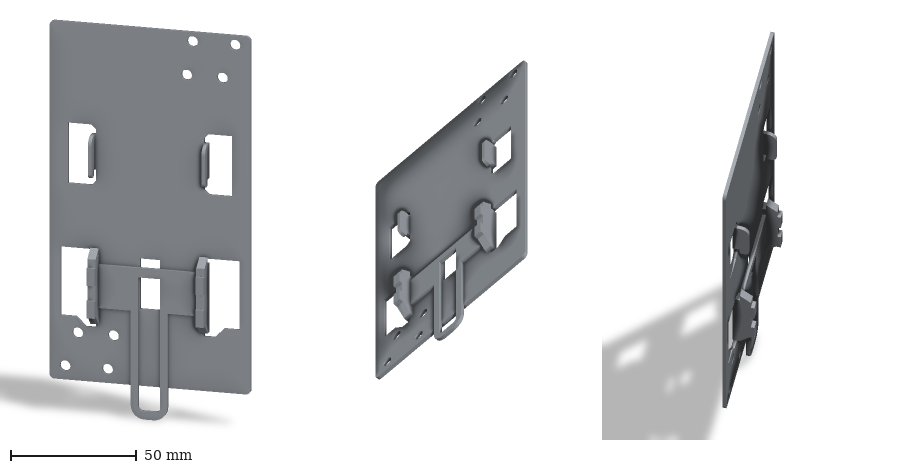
import cadquery as cq


SHEET = 1.5
OVERALL_DEPTH = 9.0

PLATE_WIDTH = 83.0
PLATE_BOTTOM = 13.5
PLATE_TOP = 162.2
PLATE_CORNER_RADIUS = 2.1

HOLE_DIAMETER = 4.4
HOLE_CENTRE_Z = 88.8
HOLE_OFFSETS = [(17.5, 69.6), (35.0, 69.6), (15.1, 55.5), (29.9, 55.5)]

WINDOW_INNER_X = 22.2
UPPER_WINDOW_OUTER_X = 33.9
UPPER_WINDOW_TOP = 120.4
UPPER_WINDOW_BOTTOM = 95.0
UPPER_WINDOW_CHAMFER = 2.0
LOWER_WINDOW_OUTER_X = 36.8
LOWER_WINDOW_TOP = 68.6
LOWER_WINDOW_BOTTOM = 39.9
LOWER_WINDOW_NOTCH_BOTTOM = 36.0
LOWER_WINDOW_NOTCH_X = 26.6
CENTRE_WINDOW_WIDTH = 8.5
CENTRE_WINDOW_TOP = 66.4
CENTRE_WINDOW_BOTTOM = 45.3

TAB_OUTER_X = 24.2
TAB_REACH = 5.2
TAB_TOP = 116.5
TAB_BOTTOM = 99.3
TAB_NECK_BOTTOM = 101.9
TAB_NECK_LENGTH = 1.3
TAB_TOP_RADIUS = 3.9
TAB_FRONT_RADIUS = 2.0
TAB_REAR_RADIUS = 1.3

BAR_TOP = 62.8
BAR_BOTTOM = 44.8
HANDLE_WIDTH = 15.1
HANDLE_CORNER_RADIUS = 5.7
SLOT_WIDTH = 9.2
SLOT_TOP = 58.9
SLOT_BOTTOM = 3.4
SLOT_CORNER_RADIUS = 2.0

CLIP_OUTER_X = TAB_OUTER_X
CLIP_INNER_X = 20.8
CLIP_REACH = OVERALL_DEPTH - SHEET
CLIP_STEP_REACH = 6.0
CLIP_TOP = 69.6
CLIP_SHOULDER = 66.5
CLIP_RAMP_END = 66.2
CLIP_TOOTH_GAP_TOP = 55.5
CLIP_TOOTH_GAP_BOTTOM = 49.2
CLIP_FOOT = 42.0
CLIP_FOOT_REACH = 5.5
CLIP_BOTTOM = 38.0


def panel(x_min, x_max, z_min, z_max, y_back):
    """Upright rectangular sheet whose back face lies at y_back."""
    return cq.Workplane("XY").box(
        x_max - x_min, SHEET, z_max - z_min, centered=False
    ).translate((x_min, y_back - SHEET, z_min))


def both_sides(shape):
    return shape.union(shape.mirror("YZ"))


def cutter(points):
    """Outline in (x, z) extruded through the plate."""
    return cq.Workplane("XZ").polyline(points).close().extrude(SHEET, both=True)


def side_profile(points, x_inner, x_outer):
    """Outline in (reach in front of the plate, z) extruded along X."""
    outline = [(-reach, z) for reach, z in points]
    return (
        cq.Workplane("YZ", origin=(x_inner, 0, 0))
        .polyline(outline).close().extrude(x_outer - x_inner)
    )


def make_plate():
    half = PLATE_WIDTH / 2
    plate = panel(-half, half, PLATE_BOTTOM, PLATE_TOP, SHEET)
    plate = plate.edges("|Y").fillet(PLATE_CORNER_RADIUS)

    chamfer = UPPER_WINDOW_CHAMFER
    upper_window = cutter([
        (UPPER_WINDOW_OUTER_X, UPPER_WINDOW_TOP),
        (WINDOW_INNER_X + chamfer, UPPER_WINDOW_TOP),
        (WINDOW_INNER_X, UPPER_WINDOW_TOP - chamfer),
        (WINDOW_INNER_X, UPPER_WINDOW_BOTTOM + chamfer),
        (WINDOW_INNER_X + chamfer, UPPER_WINDOW_BOTTOM),
        (UPPER_WINDOW_OUTER_X, UPPER_WINDOW_BOTTOM),
    ])

    notch_depth = LOWER_WINDOW_BOTTOM - LOWER_WINDOW_NOTCH_BOTTOM
    lower_window = cutter([
        (LOWER_WINDOW_OUTER_X, LOWER_WINDOW_TOP),
        (WINDOW_INNER_X, LOWER_WINDOW_TOP),
        (WINDOW_INNER_X, LOWER_WINDOW_NOTCH_BOTTOM),
        (LOWER_WINDOW_NOTCH_X, LOWER_WINDOW_NOTCH_BOTTOM),
        (LOWER_WINDOW_NOTCH_X + notch_depth, LOWER_WINDOW_BOTTOM),
        (LOWER_WINDOW_OUTER_X, LOWER_WINDOW_BOTTOM),
    ])

    half_centre = CENTRE_WINDOW_WIDTH / 2
    centre_window = panel(-half_centre, half_centre, CENTRE_WINDOW_BOTTOM, CENTRE_WINDOW_TOP, SHEET)

    hole_points = []
    for x, z in HOLE_OFFSETS:
        hole_points.append((x, HOLE_CENTRE_Z + z))
        hole_points.append((-x, HOLE_CENTRE_Z - z))
    holes = (
        cq.Workplane("XZ").pushPoints(hole_points)
        .circle(HOLE_DIAMETER / 2).extrude(SHEET, both=True)
    )

    plate = plate.cut(both_sides(upper_window)).cut(both_sides(lower_window))
    return plate.cut(centre_window).cut(holes)


def make_tab():
    """Sheet tab on the +X side, standing square on the edge of the upper window."""
    tab = side_profile([
        (-SHEET, TAB_TOP),
        (TAB_REACH, TAB_TOP),
        (TAB_REACH, TAB_BOTTOM),
        (TAB_NECK_LENGTH, TAB_BOTTOM),
        (TAB_NECK_LENGTH, TAB_NECK_BOTTOM),
        (-SHEET, TAB_NECK_BOTTOM),
    ], TAB_OUTER_X - SHEET, TAB_OUTER_X)
    tab = tab.edges("|X and >Z and <Y").fillet(TAB_TOP_RADIUS)
    tab = tab.faces("<Z").edges("|X and <Y").fillet(TAB_FRONT_RADIUS)
    tab = tab.faces("<Z").edges("|X and >Y").fillet(TAB_REAR_RADIUS)
    root = panel(WINDOW_INNER_X, TAB_OUTER_X, TAB_NECK_BOTTOM, TAB_TOP, SHEET)
    return tab.union(root)


def make_slide():
    half_handle = HANDLE_WIDTH / 2
    half_slot = SLOT_WIDTH / 2
    bar = panel(-CLIP_OUTER_X, CLIP_OUTER_X, BAR_BOTTOM, BAR_TOP, 0)
    handle = panel(-half_handle, half_handle, 0, BAR_TOP, 0)
    handle = handle.edges("|Y and <Z").fillet(HANDLE_CORNER_RADIUS)
    slot = panel(-half_slot, half_slot, SLOT_BOTTOM, SLOT_TOP, 0)
    slot = slot.edges("|Y and <Z").fillet(SLOT_CORNER_RADIUS)
    return bar.union(handle).cut(slot)


def make_clip():
    """Toothed block on the +X side, with a heel reaching back through the lower window."""
    block = side_profile([
        (0, CLIP_SHOULDER),
        (SHEET, CLIP_SHOULDER),
        (SHEET, CLIP_TOP),
        (CLIP_STEP_REACH, CLIP_RAMP_END),
        (CLIP_STEP_REACH, BAR_TOP),
        (CLIP_REACH, BAR_TOP),
        (CLIP_REACH, CLIP_TOOTH_GAP_TOP),
        (CLIP_STEP_REACH, CLIP_TOOTH_GAP_TOP),
        (CLIP_STEP_REACH, CLIP_TOOTH_GAP_BOTTOM),
        (CLIP_REACH, CLIP_TOOTH_GAP_BOTTOM),
        (CLIP_REACH, CLIP_FOOT),
        (CLIP_FOOT_REACH, CLIP_FOOT),
        (SHEET, CLIP_BOTTOM),
        (0, CLIP_BOTTOM),
    ], CLIP_INNER_X, CLIP_OUTER_X)
    heel = panel(WINDOW_INNER_X, CLIP_OUTER_X, CLIP_BOTTOM, CLIP_SHOULDER, SHEET)
    return block.union(heel)


result = (
    make_plate()
    .union(both_sides(make_tab()))
    .union(make_slide())
    .union(both_sides(make_clip()))
)